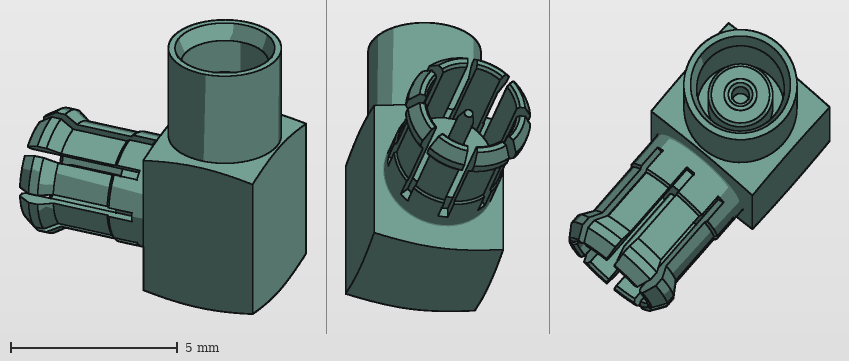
import cadquery as cq
import math


BLOCK_X = 3.58
BLOCK_Y = 4.0
BLOCK_Z = 4.98
BLOCK_TOP = BLOCK_Z / 2
BLOCK_FACE = -BLOCK_X / 2
END_FLAT_RADIUS = 1.785
END_SLOPE = math.radians(15)
CORNER_CLEARANCE = 0.1

TUBE_RADIUS = 1.7
TUBE_TOP = 5.51
TUBE_BORE_RADIUS = 1.315
TUBE_MOUTH_RADIUS = 1.5
TUBE_MOUTH_DEPTH = 0.5

INSULATOR_RADIUS = 0.97
INSULATOR_CHAMFER = 0.095
INSULATOR_TOP = TUBE_TOP - 1.33
CONTACT_RADIUS = 0.49
CONTACT_TOP = INSULATOR_TOP + 0.03
CONTACT_HOLE_RADIUS = 0.26
CONTACT_MOUTH_RADIUS = 0.365
CONTACT_HOLE_DEPTH = 1.0

PLUG_TIP = -6.01
PLUG_LENGTH = BLOCK_FACE - PLUG_TIP
LIP_RADIUS = 1.9
LIP_START = 0.4
LIP_END = 0.7
NECK_RADIUS = 1.64
NECK_START = 1.1
NECK_END = 2.87
COLLAR_RADIUS = 1.7
COLLAR_START = 2.95
ROOT_FILLET = 0.1
PLUG_BORE_RADIUS = 1.4
PLUG_MOUTH_RADIUS = 1.48
PLUG_MOUTH_DEPTH = 0.1
PLUG_BORE_DEPTH = 3.05
SLOT_COUNT = 8
SLOT_WIDTH = 0.3
SLOT_LENGTH = 3.7

PIN_RADIUS = 0.25
PIN_TIP_RADIUS = 0.13
PIN_TIP = 0.47
PIN_CONE_END = 0.92


def revolve_about_z(points):
    """Solid of revolution from (radius, z) points."""
    return cq.Workplane("XZ").polyline(points).close().revolve(360, (0, 0), (0, 1))


def revolve_about_plug_axis(outline):
    """Solid of revolution from a closed outline of (distance from tip, radius)."""
    return outline.close().revolve(360, (0, 0), (1, 0))


def plug_plane():
    """XZ workplane whose local origin is the plug tip on the plug axis."""
    return cq.Workplane("XZ", origin=(PLUG_TIP, 0, 0))


def make_block():
    corner_reach = math.hypot(BLOCK_X, BLOCK_Y) / 2 + CORNER_CLEARANCE
    corner_z = BLOCK_TOP - (corner_reach - END_FLAT_RADIUS) * math.tan(END_SLOPE)
    envelope = revolve_about_z([
        (0, -BLOCK_TOP),
        (END_FLAT_RADIUS, -BLOCK_TOP),
        (corner_reach, -corner_z),
        (corner_reach, corner_z),
        (END_FLAT_RADIUS, BLOCK_TOP),
        (0, BLOCK_TOP),
    ])
    return cq.Workplane("XY").box(BLOCK_X, BLOCK_Y, BLOCK_Z).intersect(envelope)


def make_tube():
    return revolve_about_z([
        (0, 0),
        (TUBE_RADIUS, 0),
        (TUBE_RADIUS, TUBE_TOP),
        (TUBE_MOUTH_RADIUS, TUBE_TOP),
        (TUBE_BORE_RADIUS, TUBE_TOP - TUBE_MOUTH_DEPTH),
        (TUBE_BORE_RADIUS, BLOCK_TOP),
        (0, BLOCK_TOP),
    ])


def make_insulator_and_contact():
    hole_chamfer = CONTACT_MOUTH_RADIUS - CONTACT_HOLE_RADIUS
    hole_bottom = CONTACT_TOP - CONTACT_HOLE_DEPTH
    return revolve_about_z([
        (0, 0),
        (INSULATOR_RADIUS, 0),
        (INSULATOR_RADIUS, INSULATOR_TOP - INSULATOR_CHAMFER),
        (INSULATOR_RADIUS - INSULATOR_CHAMFER, INSULATOR_TOP),
        (CONTACT_RADIUS, INSULATOR_TOP),
        (CONTACT_RADIUS, CONTACT_TOP),
        (CONTACT_MOUTH_RADIUS, CONTACT_TOP),
        (CONTACT_HOLE_RADIUS, CONTACT_TOP - hole_chamfer),
        (CONTACT_HOLE_RADIUS, hole_bottom),
        (0, hole_bottom),
    ])


def make_plug_shell():
    fillet_start = PLUG_LENGTH - ROOT_FILLET
    fillet_top = COLLAR_RADIUS + ROOT_FILLET
    arc_offset = ROOT_FILLET * math.sqrt(0.5)
    arc_middle = (fillet_start + arc_offset, fillet_top - arc_offset)
    outline = (
        plug_plane()
        .moveTo(0, PLUG_MOUTH_RADIUS)
        .lineTo(0, NECK_RADIUS)
        .lineTo(LIP_START, LIP_RADIUS)
        .lineTo(LIP_END, LIP_RADIUS)
        .lineTo(NECK_START, NECK_RADIUS)
        .lineTo(NECK_END, NECK_RADIUS)
        .lineTo(COLLAR_START, COLLAR_RADIUS)
        .lineTo(fillet_start, COLLAR_RADIUS)
        .threePointArc(arc_middle, (PLUG_LENGTH, fillet_top))
        .lineTo(PLUG_LENGTH, 0)
        .lineTo(PLUG_BORE_DEPTH, 0)
        .lineTo(PLUG_BORE_DEPTH, PLUG_BORE_RADIUS)
        .lineTo(PLUG_MOUTH_DEPTH, PLUG_BORE_RADIUS)
    )
    return revolve_about_plug_axis(outline)


def cut_slots(plug):
    slot_inner = PLUG_BORE_RADIUS * math.cos(math.asin(SLOT_WIDTH / 2 / PLUG_BORE_RADIUS))
    slot = cq.Workplane("XY", origin=(PLUG_TIP, 0, slot_inner)).box(
        SLOT_LENGTH, SLOT_WIDTH, LIP_RADIUS - slot_inner + SLOT_WIDTH, centered=(False, True, False)
    )
    for index in range(SLOT_COUNT):
        plug = plug.cut(slot.rotate((0, 0, 0), (1, 0, 0), index * 360 / SLOT_COUNT))
    return plug


def make_pin():
    outline = (
        plug_plane()
        .moveTo(PIN_TIP, 0)
        .lineTo(PIN_TIP, PIN_TIP_RADIUS)
        .lineTo(PIN_CONE_END, PIN_RADIUS)
        .lineTo(PLUG_LENGTH, PIN_RADIUS)
        .lineTo(PLUG_LENGTH, 0)
    )
    return revolve_about_plug_axis(outline)


result = (
    make_block()
    .union(make_tube())
    .union(make_insulator_and_contact())
    .union(cut_slots(make_plug_shell()))
    .union(make_pin())
)